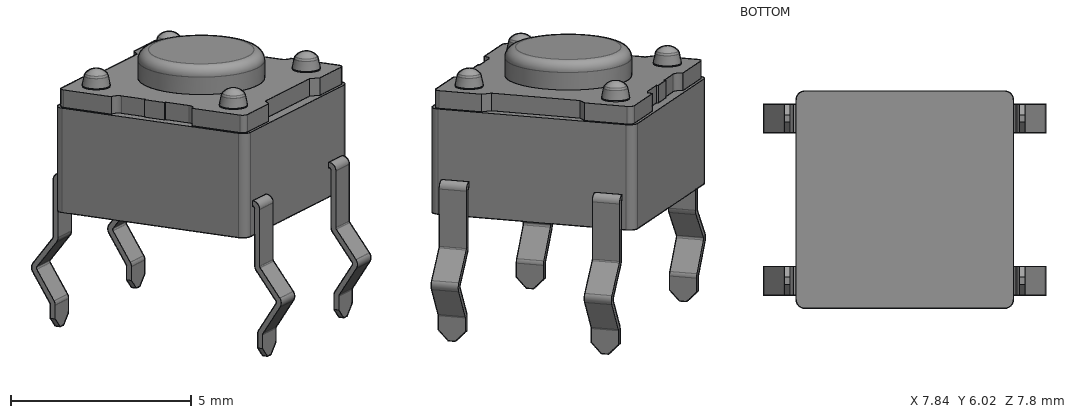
import cadquery as cq


body_side = 6.02
body_height = 3.0
body_corner_radius = 0.25

cover_inset = 0.095
cover_height = 0.5
cover_side = body_side - 2 * cover_inset
cover_corner_radius = body_corner_radius - cover_inset
cover_top = body_height + cover_height

notch_depth = 0.21
side_notch_length = 3.02
end_notch_length = 2.52
end_notch_radius = 0.2
end_pad_length = 0.63
end_pad_thickness = 0.05

button_diameter = 3.515
button_height = 0.8
button_edge_radius = 0.3

peg_pitch = 4.3
peg_base_radius = 0.4
peg_shoulder_radius = 0.33
peg_shoulder_height = 0.34
peg_height = 0.51
peg_blend_radius = 0.14

leg_pitch = 4.495
leg_width = 0.8
leg_thickness = 0.16
leg_tip_chamfer = 0.3
leg_top = 1.0
leg_drop = 3.5
leg_inner_bend_radius = 0.06
leg_bend_radius = leg_inner_bend_radius + leg_thickness / 2
leg_embed = 0.16
leg_clearance = 0.07
shank_x = body_side / 2 + leg_clearance + leg_thickness / 2
shank_end_z = -0.9
elbow_x = 3.87
elbow_z = -1.81
tail_x = 3.25
tail_start_z = -2.765


def make_body():
    body = cq.Workplane("XY").rect(body_side, body_side).extrude(body_height)
    return body.edges("|Z").fillet(body_corner_radius)


def side_notch():
    """Notch with 45 degree ends in the +X edge of the cover."""
    edge_x = cover_side / 2
    floor_x = edge_x - notch_depth
    outer_y = side_notch_length / 2
    inner_y = outer_y - notch_depth
    return (
        cq.Workplane("XY", origin=(0, 0, body_height))
        .polyline([(edge_x, -outer_y), (edge_x, outer_y), (floor_x, inner_y), (floor_x, -inner_y)])
        .close()
        .extrude(cover_height)
    )


def end_notch():
    """Notch with rounded inner corners and a thin central pad in the +Y edge of the cover."""
    floor_y = cover_side / 2 - notch_depth
    base = cq.Workplane("XY", origin=(0, 0, body_height))
    notch = (
        base.center(0, floor_y + notch_depth / 2)
        .rect(end_notch_length, notch_depth)
        .extrude(cover_height)
        .edges("|Z and <Y")
        .fillet(end_notch_radius)
    )
    pad = (
        base.center(0, floor_y + end_pad_thickness / 2)
        .rect(end_pad_length, end_pad_thickness)
        .extrude(cover_height)
    )
    return notch.cut(pad)


def make_cover():
    cover = (
        cq.Workplane("XY", origin=(0, 0, body_height))
        .rect(cover_side, cover_side)
        .extrude(cover_height)
        .edges("|Z")
        .fillet(cover_corner_radius)
    )
    for notch in (side_notch(), end_notch()):
        for turn in (0, 180):
            cover = cover.cut(notch.rotate((0, 0, 0), (0, 0, 1), turn))
    return cover


def make_button():
    return (
        cq.Workplane("XY", origin=(0, 0, cover_top))
        .circle(button_diameter / 2)
        .extrude(button_height)
        .faces(">Z")
        .edges()
        .fillet(button_edge_radius)
    )


def make_peg():
    """Tapered peg with a domed top, standing at the origin."""
    dome_rise = peg_height - peg_shoulder_height
    dome_radius = (peg_shoulder_radius**2 + dome_rise**2) / (2 * dome_rise)
    dome_center = peg_height - dome_radius
    taper = (peg_base_radius - peg_shoulder_radius) / peg_shoulder_height
    cone_end_radius = peg_base_radius - taper * peg_height
    cone = cq.Workplane(cq.Solid.makeCone(peg_base_radius, cone_end_radius, peg_height))
    dome = cq.Workplane("XY").sphere(dome_radius).translate((0, 0, dome_center))
    return cone.intersect(dome).faces("%CONE").edges(">Z").fillet(peg_blend_radius)


def make_leg():
    """Leg on the +X side, centred on Y = 0."""
    start = (body_side / 2 - leg_embed, leg_top - leg_thickness / 2)
    bends = [
        (shank_x, leg_top - leg_thickness / 2),
        (shank_x, shank_end_z),
        (elbow_x, elbow_z),
        (tail_x, tail_start_z),
    ]
    corners = [start, *bends, (tail_x, -leg_drop)]
    sharp_path = cq.Wire.makePolygon([cq.Vector(x, 0, z) for x, z in corners])
    bent_path = sharp_path.fillet(leg_bend_radius)
    strip = (
        cq.Workplane("YZ", origin=(start[0], 0, start[1]))
        .rect(leg_width, leg_thickness)
        .sweep(cq.Workplane(bent_path))
    )
    return strip.faces("<Z").edges("|X").chamfer(leg_tip_chamfer)


result = make_body().union(make_cover()).union(make_button())

peg = make_peg()
for x_sign in (-1, 1):
    for y_sign in (-1, 1):
        peg_place = (x_sign * peg_pitch / 2, y_sign * peg_pitch / 2, cover_top)
        result = result.union(peg.translate(peg_place))

right_leg = make_leg()
for leg in (right_leg, right_leg.mirror("YZ")):
    for y_sign in (-1, 1):
        result = result.union(leg.translate((0, y_sign * leg_pitch / 2, 0)))